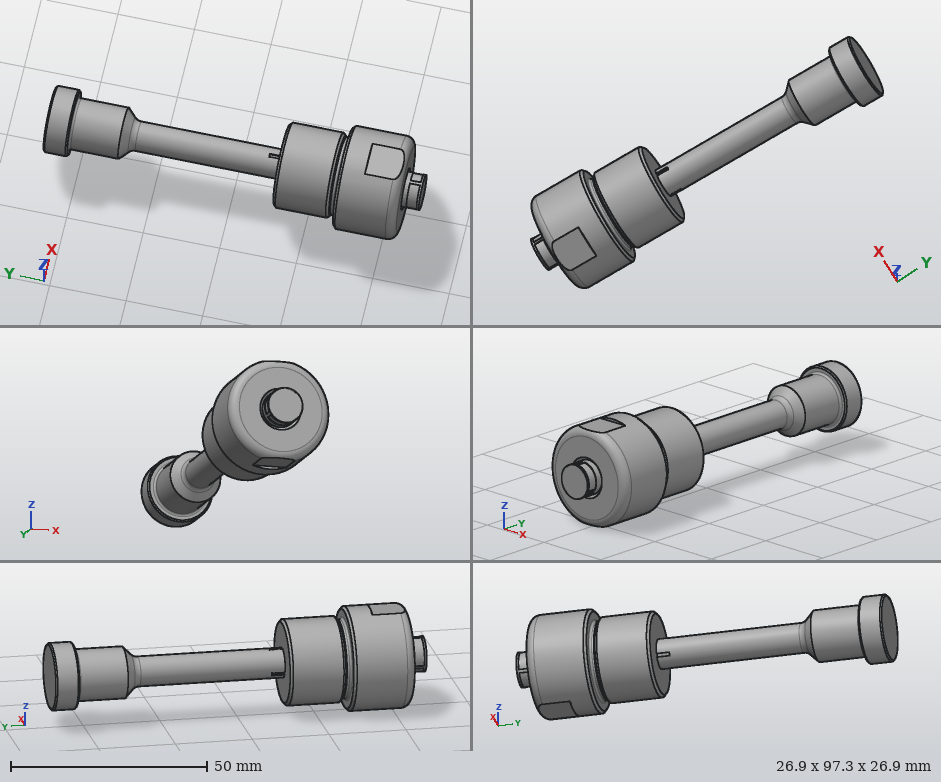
import cadquery as cq
import math

TOTAL_LENGTH = 97.29

TIP_DIA = 9.15
TIP_GROOVE_DIA = 8.95
TIP_GROOVE_FRONT = 0.6
TIP_GROOVE_BACK = 3.25

COLLAR_DIA = 26.92
COLLAR_FRONT = 4.45
COLLAR_BACK = 20.65
COLLAR_ROUND = 2.4
FLAT_SPACING = 25.4
FLAT_BACK = 14.1
SINK_DIA = 10.85

NECK_DIA = 20.24
NECK_FILLET = 0.6
NECK_STEP_DIA = 20.44
NECK_STEP_FRONT = 21.9

SLEEVE_DIA = 22.23
SLEEVE_FRONT = 22.2
SLEEVE_BACK = 36.75
EDGE_CHAMFER = 0.7

STEM_DIA = 7.75
STEM_SLOT_DEPTH = 0.5
STEM_SLOT_END = 40.05
STEM_FILLET = 2.4

SHANK_DIA = 13.4
SHANK_FRONT = 78.15
CONE_ANGLE = 45

HEAD_DIA = 17.34
HEAD_FRONT = 91.1
HEAD_CHAMFER = 0.4
HEAD_ROOT_FILLET = 0.6

KEY_COUNT = 3
KEY_WIDTH = 0.9


def cylinder(diameter, front, back):
    """Solid cylinder along Y between two stations."""
    return cq.Workplane("XZ", origin=(0, front, 0)).circle(diameter / 2).extrude(front - back)


def revolve_about_y(profile):
    """Turn a closed (radius, Y) outline about the Y axis."""
    return profile.close().revolve(360, (0, 0, 0), (0, 1, 0))


def root_fillet(diameter, wall, radius, direction):
    """Ring that rounds the corner between a cylinder and a wall; direction is +1 or -1 along Y."""
    inner = diameter / 2
    edge = wall + direction * radius
    bend = radius * (1 - math.sqrt(0.5))
    profile = (
        cq.Workplane("XY")
        .moveTo(0, wall)
        .lineTo(inner + radius, wall)
        .threePointArc((inner + bend, wall + direction * bend), (inner, edge))
        .lineTo(0, edge)
    )
    return revolve_about_y(profile)


def keys(outer_dia, depth, front, back):
    """Equally spaced bars reaching from the given depth to beyond the outer diameter, first one on top."""
    bar = cq.Workplane("XY").box(KEY_WIDTH, back - front, 2 * depth)
    bar = bar.translate((0, (front + back) / 2, outer_dia / 2))
    bars = cq.Workplane("XY")
    for index in range(KEY_COUNT):
        bars = bars.add(bar.rotate((0, 0, 0), (0, 1, 0), index * 360 / KEY_COUNT))
    return bars.combine()


def make_tip():
    tip = cylinder(TIP_DIA, 0, COLLAR_BACK)
    groove = cylinder(TIP_DIA, TIP_GROOVE_FRONT, TIP_GROOVE_BACK)
    groove = groove.cut(cylinder(TIP_GROOVE_DIA, TIP_GROOVE_FRONT, TIP_GROOVE_BACK))
    groove = groove.cut(keys(TIP_DIA, TIP_DIA - TIP_GROOVE_DIA, TIP_GROOVE_FRONT, TIP_GROOVE_BACK))
    return tip.cut(groove)


def make_collar():
    collar = cylinder(COLLAR_DIA, COLLAR_FRONT, COLLAR_BACK)
    collar = collar.faces("<Y").edges().fillet(COLLAR_ROUND)
    collar = collar.faces(">Y").edges().chamfer(EDGE_CHAMFER)

    flat_length = FLAT_BACK - COLLAR_FRONT
    flat_cutter = cq.Workplane("XY").box(COLLAR_DIA, flat_length, COLLAR_DIA)
    for side in (1, -1):
        offset = side * (FLAT_SPACING + COLLAR_DIA) / 2
        collar = collar.cut(flat_cutter.translate((0, COLLAR_FRONT + flat_length / 2, offset)))

    sink_profile = (
        cq.Workplane("XY")
        .moveTo(0, COLLAR_FRONT)
        .lineTo(SINK_DIA / 2, COLLAR_FRONT)
        .lineTo(0, COLLAR_FRONT + SINK_DIA / 2)
    )
    return collar.cut(revolve_about_y(sink_profile))


def make_neck():
    neck = cylinder(NECK_DIA, COLLAR_BACK, NECK_STEP_FRONT)
    step = cylinder(NECK_STEP_DIA, NECK_STEP_FRONT, SLEEVE_FRONT)
    return neck.union(step).union(root_fillet(NECK_DIA, COLLAR_BACK, NECK_FILLET, 1))


def make_sleeve():
    return cylinder(SLEEVE_DIA, SLEEVE_FRONT, SLEEVE_BACK).edges("%CIRCLE").chamfer(EDGE_CHAMFER)


def make_stem_and_shank():
    stem_radius = STEM_DIA / 2
    shank_radius = SHANK_DIA / 2
    slope = math.radians(CONE_ANGLE)
    cone_tip = SHANK_FRONT - (shank_radius - stem_radius) / math.tan(slope)
    fillet_start = cone_tip - STEM_FILLET * math.tan(slope / 2)
    center_radius = stem_radius + STEM_FILLET

    def on_fillet(angle):
        return center_radius - STEM_FILLET * math.cos(angle), fillet_start + STEM_FILLET * math.sin(angle)

    profile = (
        cq.Workplane("XY")
        .moveTo(0, SLEEVE_BACK)
        .lineTo(stem_radius, SLEEVE_BACK)
        .lineTo(stem_radius, fillet_start)
        .threePointArc(on_fillet(slope / 2), on_fillet(slope))
        .lineTo(shank_radius, SHANK_FRONT)
        .lineTo(shank_radius, HEAD_FRONT)
        .lineTo(0, HEAD_FRONT)
    )
    stem = revolve_about_y(profile)
    return stem.cut(keys(STEM_DIA, STEM_SLOT_DEPTH, SLEEVE_BACK, STEM_SLOT_END))


def make_head():
    head = cylinder(HEAD_DIA, HEAD_FRONT, TOTAL_LENGTH).edges("%CIRCLE").chamfer(HEAD_CHAMFER)
    return head.union(root_fillet(SHANK_DIA, HEAD_FRONT, HEAD_ROOT_FILLET, -1))


result = make_collar()
for section in (make_tip(), make_neck(), make_sleeve(), make_stem_and_shank(), make_head()):
    result = result.union(section)